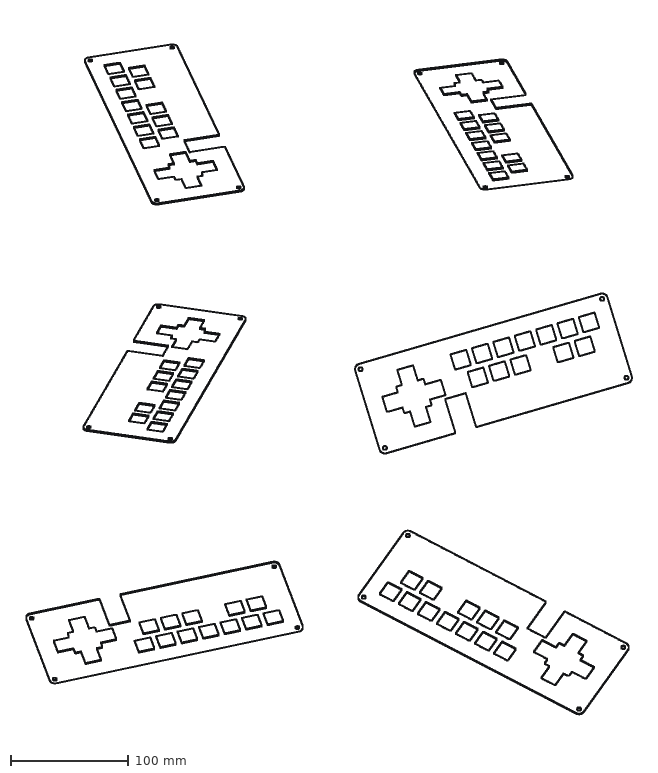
import cadquery as cq

plate_length = 224.76
plate_width = 81.89
plate_thickness = 1.5

key_pitch = 19.05
key_opening = 14.0
opening_corner_radius = 0.5

hole_inset = key_pitch / 4
plate_corner_radius = hole_inset
hole_diameter = 3.4

first_key_x = -90.95
lower_row_y = -19.6
upper_row_y = lower_row_y + key_pitch
lower_row_columns = [0, 1, 2, 3, 4, 5, 6]
upper_row_columns = [0.5, 1.5, 3.5, 4.5, 5.5]

cross_x = 70.75
cross_y = upper_row_y
cross_span = 2 * key_pitch + key_opening
cross_square = 24.4
cross_square_radius = 1.0

slot_x = 36.9
slot_width = 18.3
slot_depth = 31.2
slot_mouth_radius = 1.0


def rounded_block(center_x, center_y, length, width, corner_radius):
    """Plate-deep block with rounded vertical edges."""
    block = cq.Workplane("XY").box(length, width, plate_thickness, centered=(True, True, False))
    return block.edges("|Z").fillet(corner_radius).translate((center_x, center_y, 0))


def make_plate():
    """Flat plate with rounded corners."""
    return rounded_block(0, 0, plate_length, plate_width, plate_corner_radius)


def cut_rear_slot(plate):
    """Cut the square-bottomed slot and round the two corners at its mouth."""
    rear_y = plate_width / 2
    slot = (
        cq.Workplane("XY")
        .box(slot_width, slot_depth, plate_thickness, centered=(True, False, False))
        .translate((slot_x, rear_y - slot_depth, 0))
    )
    slotted = plate.cut(slot)
    for side in (-1, 1):
        mouth_corner = (slot_x + side * slot_width / 2, rear_y, plate_thickness / 2)
        mouth_edge = cq.selectors.NearestToPointSelector(mouth_corner)
        slotted = slotted.edges("|Z").edges(mouth_edge).fillet(slot_mouth_radius)
    return slotted


def cut_key_row(plate, row_y, columns):
    """Cut one square opening for each key of a row."""
    for column in columns:
        key_x = first_key_x + column * key_pitch
        plate = plate.cut(
            rounded_block(key_x, row_y, key_opening, key_opening, opening_corner_radius)
        )
    return plate


def cut_cross(plate):
    """Cut the horizontal and vertical arms and the larger central square."""
    horizontal_arms = rounded_block(
        cross_x, cross_y, cross_span, key_opening, opening_corner_radius
    )
    vertical_arms = rounded_block(
        cross_x, cross_y, key_opening, cross_span, opening_corner_radius
    )
    center_square = rounded_block(
        cross_x, cross_y, cross_square, cross_square, cross_square_radius
    )
    return plate.cut(horizontal_arms).cut(vertical_arms).cut(center_square)


def cut_corner_holes(plate):
    """Drill a through hole near each plate corner."""
    spacing_x = plate_length - 2 * hole_inset
    spacing_y = plate_width - 2 * hole_inset
    drills = (
        cq.Workplane("XY")
        .rect(spacing_x, spacing_y, forConstruction=True)
        .vertices()
        .circle(hole_diameter / 2)
        .extrude(plate_thickness)
    )
    return plate.cut(drills)


result = make_plate()
result = cut_rear_slot(result)
result = cut_key_row(result, lower_row_y, lower_row_columns)
result = cut_key_row(result, upper_row_y, upper_row_columns)
result = cut_cross(result)
result = cut_corner_holes(result)